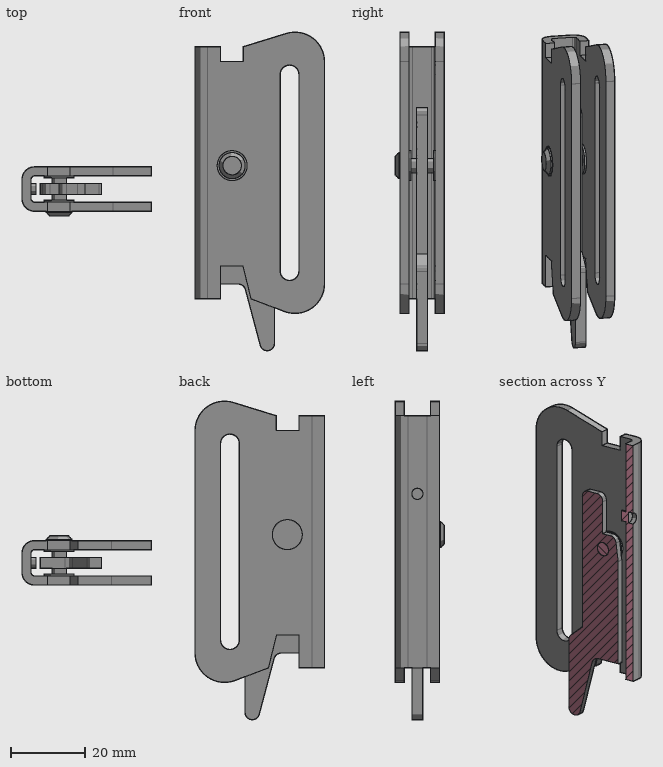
import cadquery as cq
import math

CHANNEL_LENGTH = 68.0
CHANNEL_DEPTH = 35.0
CHANNEL_WIDTH = 12.0
WALL = 2.5
BEND_RADIUS = 3.4
BEND_INNER_RADIUS = BEND_RADIUS - WALL
HALF_WIDTH = CHANNEL_WIDTH / 2
INNER_HALF_WIDTH = HALF_WIDTH - WALL

LOBE_RADIUS = 8.0
LOBE_RISE = 3.95
LOBE_X = CHANNEL_DEPTH - LOBE_RADIUS
LOBE_TOP_Z = CHANNEL_LENGTH + LOBE_RISE - LOBE_RADIUS
LOBE_BOTTOM_Z = LOBE_RADIUS - LOBE_RISE
NOTCH_LEFT = 7.0
NOTCH_RIGHT = 13.0
TOP_NOTCH_DEPTH = 3.95
BOTTOM_NOTCH_DEPTH = 8.9
BOTTOM_NOTCH_FOOT = 15.1

SLOT_X = 25.5
SLOT_WIDTH = 5.0
SLOT_LENGTH = 58.05

STOP_Z = 46.95
STOP_DIAMETER = 3.0
STOP_HEIGHT = 1.4

PIN_X = 10.1
PIN_Z = 35.95
SHAFT_DIAMETER = 3.95
COLLAR_DIAMETER = 8.1
COLLAR_STEP = 0.5
COLLAR_RECESS = 0.3
HEAD_DIAMETER = 7.05
HEAD_HEIGHT = 1.3
HEAD_CHAMFER = 1.0

LEVER_THICKNESS = 3.0
LEVER_RADIUS = 2.0
FOOT_LEFT = 4.9
FOOT_Z = 3.95
FOOT_TOP_Z = 33.5
SHOULDER_LEFT = 5.85
SHOULDER_Z = 40.4
ARM_LEFT = PIN_X
ARM_RIGHT = 17.0
ARM_TOP = 51.6
RAMP_TOP_Z = 12.0
RAMP_ANGLE = 40.0
FINGER_RIGHT = 21.5
FINGER_TIP_Z = -14.0
FINGER_TAPER = 14.9


def tangent_point(start, center, radius, side):
    """Point where a line from start touches a circle; side is +1 or -1."""
    dx = start[0] - center[0]
    dz = start[1] - center[1]
    angle = math.atan2(dz, dx) + side * math.acos(radius / math.hypot(dx, dz))
    return center[0] + radius * math.cos(angle), center[1] + radius * math.sin(angle)


def pin_bore(diameter, length):
    """Cylinder on the pin axis, centred on the middle plane."""
    return (
        cq.Workplane("XZ", origin=(PIN_X, length / 2, PIN_Z))
        .circle(diameter / 2)
        .extrude(length)
    )


def make_housing():
    """Bent channel with lobed cheeks, notches, webbing slot, pin holes and spring stop."""
    top_start = (NOTCH_RIGHT, CHANNEL_LENGTH)
    bottom_start = (BOTTOM_NOTCH_FOOT, 0)
    top_tangent = tangent_point(top_start, (LOBE_X, LOBE_TOP_Z), LOBE_RADIUS, -1)
    bottom_tangent = tangent_point(bottom_start, (LOBE_X, LOBE_BOTTOM_Z), LOBE_RADIUS, 1)

    blank = (
        cq.Workplane("XZ", origin=(0, HALF_WIDTH, 0))
        .moveTo(0, 0)
        .lineTo(0, CHANNEL_LENGTH)
        .lineTo(NOTCH_LEFT, CHANNEL_LENGTH)
        .lineTo(NOTCH_LEFT, CHANNEL_LENGTH - TOP_NOTCH_DEPTH)
        .lineTo(NOTCH_RIGHT, CHANNEL_LENGTH - TOP_NOTCH_DEPTH)
        .lineTo(*top_start)
        .lineTo(*top_tangent)
        .radiusArc((CHANNEL_DEPTH, LOBE_TOP_Z), LOBE_RADIUS)
        .lineTo(CHANNEL_DEPTH, LOBE_BOTTOM_Z)
        .radiusArc(bottom_tangent, LOBE_RADIUS)
        .lineTo(*bottom_start)
        .lineTo(NOTCH_RIGHT, BOTTOM_NOTCH_DEPTH)
        .lineTo(NOTCH_LEFT, BOTTOM_NOTCH_DEPTH)
        .lineTo(NOTCH_LEFT, 0)
        .close()
        .extrude(CHANNEL_WIDTH)
    )
    blank = blank.edges("|Z and <X").fillet(BEND_RADIUS)

    cavity_height = CHANNEL_LENGTH + 2 * LOBE_RISE
    cavity = (
        cq.Workplane("XY")
        .box(CHANNEL_DEPTH, 2 * INNER_HALF_WIDTH, cavity_height, centered=(False, True, False))
        .edges("|Z and <X")
        .fillet(BEND_INNER_RADIUS)
        .translate((WALL, 0, -LOBE_RISE))
    )
    slot = (
        cq.Workplane("XZ", origin=(SLOT_X, HALF_WIDTH, CHANNEL_LENGTH / 2))
        .slot2D(SLOT_LENGTH, SLOT_WIDTH, 90)
        .extrude(CHANNEL_WIDTH)
    )
    pin_hole = pin_bore(COLLAR_DIAMETER, CHANNEL_WIDTH)
    dimple = (
        cq.Workplane("YZ", origin=(0, 0, STOP_Z))
        .circle(STOP_DIAMETER / 2)
        .extrude(STOP_HEIGHT)
    )
    stop = dimple.translate((WALL, 0, 0))
    return blank.cut(cavity).cut(slot).cut(pin_hole).cut(dimple).union(stop).solids()


def make_pin():
    """Turned pin: a collar in each cheek, a thinner shaft between them and a chamfered head."""
    shaft_radius = SHAFT_DIAMETER / 2
    collar_radius = COLLAR_DIAMETER / 2
    head_radius = HEAD_DIAMETER / 2
    collar_y = INNER_HALF_WIDTH - COLLAR_STEP
    head_y = -HALF_WIDTH - HEAD_HEIGHT
    return (
        cq.Workplane("XY")
        .moveTo(0, head_y)
        .lineTo(head_radius - HEAD_CHAMFER, head_y)
        .lineTo(head_radius, head_y + HEAD_CHAMFER)
        .lineTo(head_radius, -HALF_WIDTH + COLLAR_RECESS)
        .lineTo(collar_radius, -HALF_WIDTH + COLLAR_RECESS)
        .lineTo(collar_radius, -collar_y)
        .lineTo(shaft_radius, -collar_y)
        .lineTo(shaft_radius, collar_y)
        .lineTo(collar_radius, collar_y)
        .lineTo(collar_radius, HALF_WIDTH)
        .lineTo(0, HALF_WIDTH)
        .close()
        .revolve(360, (0, 0, 0), (0, 1, 0))
        .translate((PIN_X, 0, PIN_Z))
    )


def make_lever():
    """Flat latch lever: spring arm above, foot at the left and tapered finger below."""
    tip_center = (FINGER_RIGHT - LEVER_RADIUS, FINGER_TIP_Z + LEVER_RADIUS)
    taper = math.radians(FINGER_TAPER)
    tip_tangent = (
        tip_center[0] - LEVER_RADIUS * math.cos(taper),
        tip_center[1] - LEVER_RADIUS * math.sin(taper),
    )
    finger_root_x = tip_tangent[0] - (FOOT_Z - tip_tangent[1]) * math.tan(taper)
    ramp_drop = (FINGER_RIGHT - ARM_RIGHT) * math.tan(math.radians(RAMP_ANGLE))
    ramp_foot_z = RAMP_TOP_Z - ramp_drop

    plate = (
        cq.Workplane("XZ", origin=(0, LEVER_THICKNESS / 2, 0))
        .moveTo(FOOT_LEFT, FOOT_Z)
        .lineTo(FOOT_LEFT, FOOT_TOP_Z)
        .lineTo(SHOULDER_LEFT, SHOULDER_Z)
        .lineTo(ARM_LEFT, SHOULDER_Z)
        .lineTo(ARM_LEFT, ARM_TOP)
        .lineTo(ARM_RIGHT, ARM_TOP)
        .lineTo(ARM_RIGHT, RAMP_TOP_Z)
        .lineTo(FINGER_RIGHT, ramp_foot_z)
        .lineTo(FINGER_RIGHT, tip_center[1])
        .threePointArc((tip_center[0], FINGER_TIP_Z), tip_tangent)
        .lineTo(finger_root_x, FOOT_Z)
        .close()
        .extrude(LEVER_THICKNESS)
    )
    rounded_corners = [
        (SHOULDER_LEFT, SHOULDER_Z),
        (ARM_LEFT, ARM_TOP),
        (ARM_RIGHT, ARM_TOP),
        (FINGER_RIGHT, ramp_foot_z),
        (finger_root_x, FOOT_Z),
    ]
    for x, z in rounded_corners:
        plate = plate.edges(cq.NearestToPointSelector((x, 0, z))).fillet(LEVER_RADIUS)

    return plate.cut(pin_bore(SHAFT_DIAMETER, LEVER_THICKNESS)).solids()


housing = make_housing()
pin = make_pin()
lever = make_lever()

result = cq.Compound.makeCompound([housing.val(), pin.val(), lever.val()])